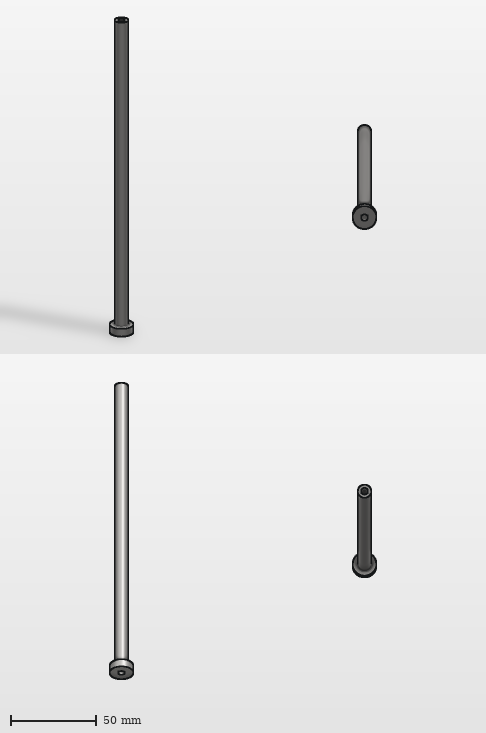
import cadquery as cq

TOTAL_LENGTH = 200.0
HEAD_DIAMETER = 14.0
HEAD_HEIGHT = 5.0
SHAFT_DIAMETER = 8.0
BORE_DIAMETER = 4.0
NECK_FILLET_RADIUS = 0.5


def sleeve_blank():
    """Solid head and shaft, with the fillet where the shaft leaves the head."""
    head_radius = HEAD_DIAMETER / 2
    shaft_radius = SHAFT_DIAMETER / 2
    fillet_middle = NECK_FILLET_RADIUS * (1 - 0.5 ** 0.5)
    profile = (
        cq.Workplane("XZ")
        .lineTo(-head_radius, 0)
        .lineTo(-head_radius, HEAD_HEIGHT)
        .lineTo(-shaft_radius - NECK_FILLET_RADIUS, HEAD_HEIGHT)
        .threePointArc(
            (-shaft_radius - fillet_middle, HEAD_HEIGHT + fillet_middle),
            (-shaft_radius, HEAD_HEIGHT + NECK_FILLET_RADIUS),
        )
        .lineTo(-shaft_radius, TOTAL_LENGTH)
        .lineTo(0, TOTAL_LENGTH)
        .close()
    )
    return profile.revolve(360, (0, 0, 0), (0, 1, 0))


def bore():
    """Straight hole through the whole length."""
    return cq.Workplane("XY").circle(BORE_DIAMETER / 2).extrude(TOTAL_LENGTH)


result = sleeve_blank().cut(bore())